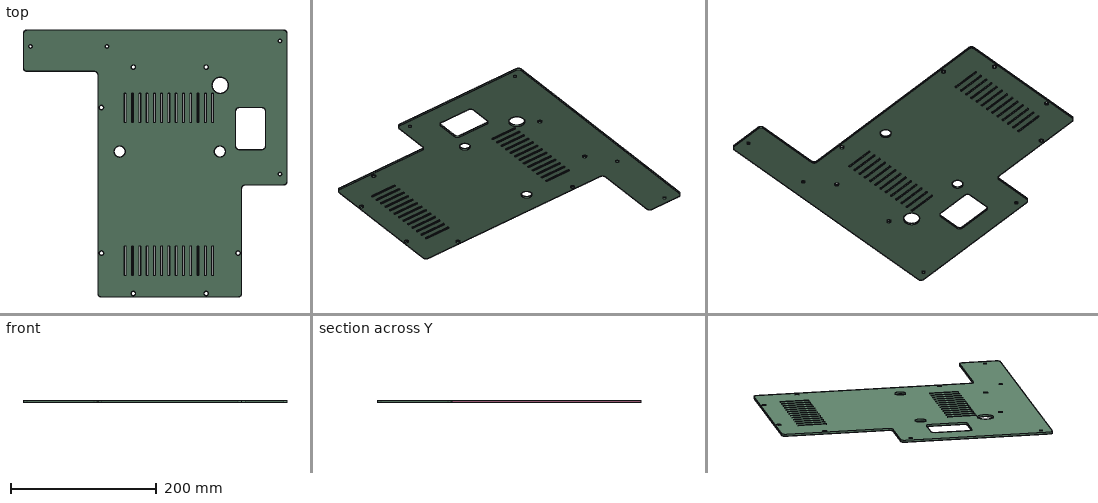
import cadquery as cq

thickness = 3.0

overall_width = 362.5
overall_height = 367.0
body_width = 197.65
body_bottom = -160.5
arm_height = 57.0
wing_length = 62.5
wing_height = 213.0
corner_radius = 5.0

body_right = body_width / 2
body_left = -body_right
wing_right = body_right + wing_length
plate_top = body_bottom + overall_height
arm_left = wing_right - overall_width
arm_bottom = plate_top - arm_height
wing_bottom = plate_top - wing_height

slot_count = 13
slot_pitch = 10.0
slot_width = 2.0
slot_length = 40.0
slot_row_center_x = -1.17
slot_row_centers_y = (99.5, -110.5)

window_width = 41.0
window_height = 57.5
window_center = (111.0, 71.0)
window_corner_radius = 5.0

body_hole_diameter = 5.75
end_hole_spacing_x = 100.0
end_hole_spacing_y = 311.0
side_hole_spacing_x = 187.65
side_hole_spacing_y = 200.0

small_hole_diameter = 4.5
arm_hole_left_x = -191.3
arm_hole_spacing = 105.0
arm_hole_y = 184.0
wing_hole_x = 151.4
wing_hole_bottom_y = 8.5
wing_hole_spacing = 183.0

round_pair_diameter = 15.0
round_pair_spacing = 137.65
round_pair_y = 39.5
large_round_diameter = 22.0
large_round_center = (69.33, 130.5)


def make_plate():
    outline = [
        (body_left, body_bottom),
        (body_right, body_bottom),
        (body_right, wing_bottom),
        (wing_right, wing_bottom),
        (wing_right, plate_top),
        (arm_left, plate_top),
        (arm_left, arm_bottom),
        (body_left, arm_bottom),
    ]
    plate = cq.Workplane("XY").polyline(outline).close().extrude(thickness)
    return plate.edges("|Z").fillet(corner_radius)


def round_holes(centers, diameter):
    return cq.Workplane("XY").pushPoints(centers).circle(diameter / 2).extrude(thickness)


def vent_slots():
    first_x = slot_row_center_x - slot_pitch * (slot_count - 1) / 2
    centers = [
        (first_x + column * slot_pitch, row_y)
        for row_y in slot_row_centers_y
        for column in range(slot_count)
    ]
    return cq.Workplane("XY").pushPoints(centers).rect(slot_width, slot_length).extrude(thickness)


def window():
    opening = cq.Workplane("XY").center(*window_center).rect(window_width, window_height)
    return opening.extrude(thickness).edges("|Z").fillet(window_corner_radius)


def body_fixing_holes():
    end_x = end_hole_spacing_x / 2
    end_y = end_hole_spacing_y / 2
    side_x = side_hole_spacing_x / 2
    side_y = side_hole_spacing_y / 2
    end_holes = [(x, y) for x in (-end_x, end_x) for y in (-end_y, end_y)]
    side_holes = [(-side_x, side_y), (-side_x, -side_y), (side_x, -side_y)]
    return round_holes(end_holes + side_holes, body_hole_diameter)


def arm_and_wing_fixing_holes():
    centers = [
        (arm_hole_left_x, arm_hole_y),
        (arm_hole_left_x + arm_hole_spacing, arm_hole_y),
        (wing_hole_x, wing_hole_bottom_y),
        (wing_hole_x, wing_hole_bottom_y + wing_hole_spacing),
    ]
    return round_holes(centers, small_hole_diameter)


def large_round_openings():
    pair_x = round_pair_spacing / 2
    pair = round_holes([(-pair_x, round_pair_y), (pair_x, round_pair_y)], round_pair_diameter)
    return pair.union(round_holes([large_round_center], large_round_diameter))


result = (
    make_plate()
    .cut(vent_slots())
    .cut(window())
    .cut(body_fixing_holes())
    .cut(arm_and_wing_fixing_holes())
    .cut(large_round_openings())
)